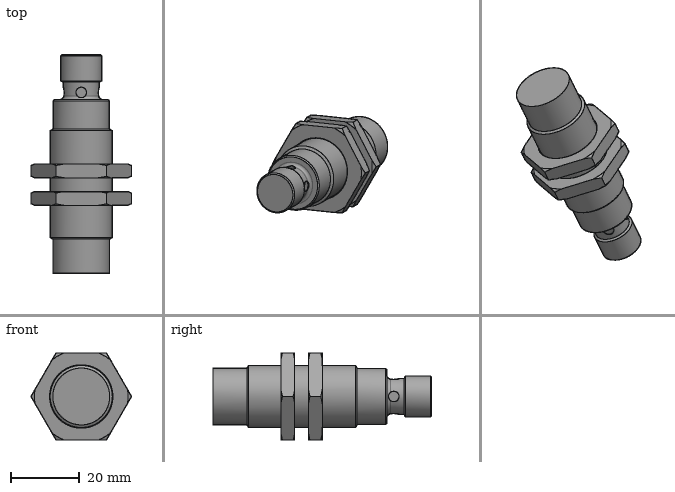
import cadquery as cq
import math

TOTAL_LENGTH = 63.5
THREAD_START = 9.9
THREAD_END = 41.9
SHOULDER_END = 50.5
NECK_END = 55.5

FACE_RADIUS = 8.25
THREAD_RADIUS = 9.0
SHOULDER_RADIUS = 8.2
NECK_FRONT_RADIUS = 5.2
NECK_REAR_RADIUS = 5.3
PLUG_RADIUS = 6.0

EDGE_CHAMFER = 0.4
THREAD_CHAMFER_LENGTH = 0.45
FLARE_FILLET = 1.0

WINDOW_COUNT = 4
WINDOW_RADIUS = 1.5
WINDOW_STATION = 52.5
WINDOW_FLOOR = 4.95

NUT_ACROSS_FLATS = 25.35
NUT_ACROSS_CORNERS = NUT_ACROSS_FLATS / math.cos(math.radians(30))
NUT_THICKNESS = 4.0
NUT_PITCH = 8.0
FIRST_NUT_STATION = 19.75
NUT_STATIONS = (FIRST_NUT_STATION, FIRST_NUT_STATION + NUT_PITCH)
NUT_FACE_RADIUS = 13.6
NUT_CHAMFER_LENGTH = 0.45
NUT_BORE_CHAMFER = 0.2


def make_housing():
    """Turned sensor body, revolved about the Y axis, with indicator windows."""
    profile = (
        cq.Workplane("XY")
        .lineTo(FACE_RADIUS, 0)
        .lineTo(FACE_RADIUS, THREAD_START)
        .lineTo(THREAD_RADIUS, THREAD_START + THREAD_CHAMFER_LENGTH)
        .lineTo(THREAD_RADIUS, THREAD_END - THREAD_CHAMFER_LENGTH)
        .lineTo(SHOULDER_RADIUS, THREAD_END)
        .lineTo(SHOULDER_RADIUS, SHOULDER_END - EDGE_CHAMFER)
        .lineTo(SHOULDER_RADIUS - EDGE_CHAMFER, SHOULDER_END)
        .lineTo(NECK_FRONT_RADIUS + FLARE_FILLET, SHOULDER_END)
        .radiusArc((NECK_FRONT_RADIUS, SHOULDER_END + FLARE_FILLET), FLARE_FILLET)
        .lineTo(NECK_REAR_RADIUS, NECK_END)
        .lineTo(PLUG_RADIUS, NECK_END + EDGE_CHAMFER)
        .lineTo(PLUG_RADIUS, TOTAL_LENGTH - EDGE_CHAMFER)
        .lineTo(PLUG_RADIUS - EDGE_CHAMFER, TOTAL_LENGTH)
        .lineTo(0, TOTAL_LENGTH)
        .close()
    )
    housing = profile.revolve(360, (0, 0, 0), (0, 1, 0))
    for index in range(WINDOW_COUNT):
        cutter = (
            cq.Workplane("XY", origin=(0, WINDOW_STATION, WINDOW_FLOOR))
            .circle(WINDOW_RADIUS)
            .extrude(PLUG_RADIUS - WINDOW_FLOOR)
            .rotate((0, 0, 0), (0, 1, 0), index * 360 / WINDOW_COUNT)
        )
        housing = housing.cut(cutter)
    return housing


def make_nut(station):
    """Hexagonal nut with chamfered corners; its front face is at the given station."""
    corner_radius = NUT_ACROSS_CORNERS / 2
    back = station + NUT_THICKNESS
    hexagon = (
        cq.Workplane("XZ", origin=(0, station, 0))
        .polygon(6, NUT_ACROSS_CORNERS)
        .extrude(-NUT_THICKNESS)
    )
    envelope = (
        cq.Workplane("XY")
        .moveTo(THREAD_RADIUS + NUT_BORE_CHAMFER, station)
        .lineTo(NUT_FACE_RADIUS, station)
        .lineTo(corner_radius, station + NUT_CHAMFER_LENGTH)
        .lineTo(corner_radius, back - NUT_CHAMFER_LENGTH)
        .lineTo(NUT_FACE_RADIUS, back)
        .lineTo(THREAD_RADIUS + NUT_BORE_CHAMFER, back)
        .lineTo(THREAD_RADIUS, back - NUT_BORE_CHAMFER)
        .lineTo(THREAD_RADIUS, station + NUT_BORE_CHAMFER)
        .close()
        .revolve(360, (0, 0, 0), (0, 1, 0))
    )
    return hexagon.intersect(envelope)


housing = make_housing()
nuts = [make_nut(station) for station in NUT_STATIONS]

result = cq.Compound.makeCompound([housing.val(), *[nut.val() for nut in nuts]])